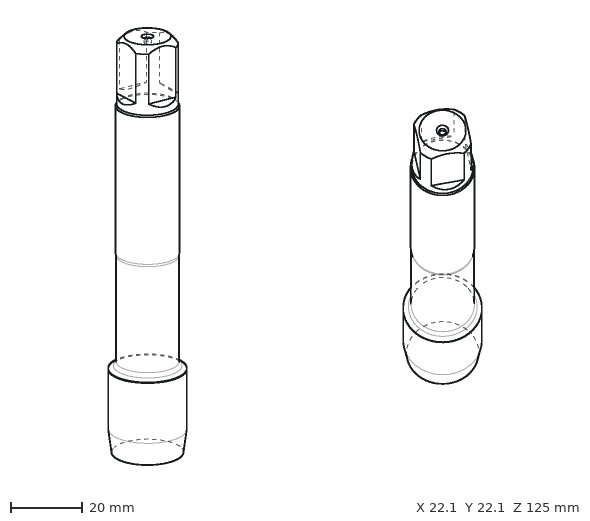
import cadquery as cq
import math


total_length = 125.0
head_radius = 22.1 / 2

head_length = 25.0
lead_length = 7.0
tip_radius = 10.1

collar_land = 0.2
neck_radius = 17.8 / 2
neck_fillet = 1.5
collar_slope = math.radians(60)
neck_top = 59.2

shank_radius = 18.0 / 2
shank_taper = 0.8
shank_top = 104.1
shank_chamfer = 0.5

drive_radius = 17.2 / 2
drive_width = 14.5
flat_bottom = 108.0
drive_top_radius = 6.56

hole_radius = 2.0 / 2
countersink_radius = 1.69
hole_depth = 1.9
hole_tip_depth = 0.6


def revolve_profile(outline):
    """Turn a closed outline of (radius, height) about the Z axis."""
    return outline.close().revolve(360, (0, 0, 0), (0, 1, 0))


def make_cutting_head():
    outline = (
        cq.Workplane("XZ")
        .lineTo(tip_radius, 0)
        .lineTo(head_radius, lead_length)
        .lineTo(head_radius, head_length)
        .lineTo(0, head_length)
    )
    return revolve_profile(outline)


def make_turned_shank():
    collar_top = head_length + collar_land
    fillet_centre_radius = neck_radius + neck_fillet
    fillet_end_radius = fillet_centre_radius - neck_fillet * math.cos(collar_slope)
    fillet_end_height = collar_top + (head_radius - fillet_end_radius) / math.tan(collar_slope)
    fillet_start_height = fillet_end_height + neck_fillet * math.sin(collar_slope)
    fillet_middle = (
        fillet_centre_radius - neck_fillet * math.cos(collar_slope / 2),
        fillet_start_height - neck_fillet * math.sin(collar_slope / 2),
    )
    drive_chamfer = drive_radius - drive_top_radius
    outline = (
        cq.Workplane("XZ")
        .moveTo(0, head_length)
        .lineTo(head_radius, head_length)
        .lineTo(head_radius, collar_top)
        .lineTo(fillet_end_radius, fillet_end_height)
        .threePointArc(fillet_middle, (neck_radius, fillet_start_height))
        .lineTo(neck_radius, neck_top)
        .lineTo(shank_radius, neck_top + shank_taper)
        .lineTo(shank_radius, shank_top)
        .lineTo(drive_radius, shank_top + shank_chamfer)
        .lineTo(drive_radius, total_length - drive_chamfer)
        .lineTo(drive_top_radius, total_length)
        .lineTo(0, total_length)
    )
    return revolve_profile(outline)


def make_flat_cutter():
    """Cutter for the drive flat on the +X side, with a 45 degree run-out at its foot."""
    flat = drive_width / 2
    reach = shank_radius
    run_out = reach - flat
    return (
        cq.Workplane("XZ")
        .moveTo(flat, flat_bottom)
        .lineTo(reach, flat_bottom - run_out)
        .lineTo(reach, total_length)
        .lineTo(flat, total_length)
        .close()
        .extrude(head_radius, both=True)
    )


def make_centre_hole():
    """Cutter for the countersunk hole with a conical bottom; the countersink is 90 degrees."""
    countersink_depth = countersink_radius - hole_radius
    outline = (
        cq.Workplane("XZ")
        .moveTo(0, total_length)
        .lineTo(countersink_radius, total_length)
        .lineTo(hole_radius, total_length - countersink_depth)
        .lineTo(hole_radius, total_length - hole_depth)
        .lineTo(0, total_length - hole_depth - hole_tip_depth)
    )
    return revolve_profile(outline)


def make_shank():
    shank = make_turned_shank()
    flat_cutter = make_flat_cutter()
    for side in range(4):
        shank = shank.cut(flat_cutter.rotate((0, 0, 0), (0, 0, 1), 90 * side))
    return shank.cut(make_centre_hole())


cutting_head = make_cutting_head()
shank = make_shank()

result = cq.Compound.makeCompound([cutting_head.val(), shank.val()])